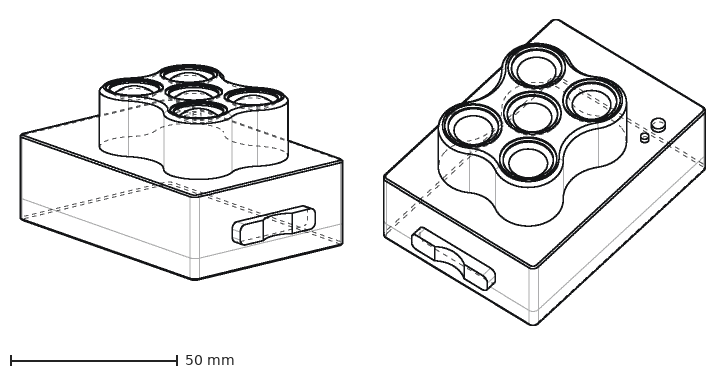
import cadquery as cq
import math

body_length = 83.0
body_width = 59.0
base_height = 7.0
body_height = 26.7
body_corner_radius = 2.0
body_edge_chamfer = 0.55

overall_height = 45.4
pod_center_x = 5.75
lens_offset_x = 15.1
lens_offset_y = 10.6
lobe_radius = 10.5
long_side_waist = 15.55
short_side_waist = 22.5
pod_chamfer = 1.25

rim_radius = 8.6
rim_depth = 0.45
throat_radius = 7.55
throat_depth = 0.55
taper_depth = 1.2
glass_radius = 5.8
glass_rise = 2.15

peg_y = 22.5
peg_height = 1.5
pegs = [(-26.5, peg_y, 2.1), (-20.0, peg_y, 1.25)]

overall_length = 86.8
connector_width = 29.2
connector_height = 6.4
connector_bottom = 9.1
connector_corner_radius = 1.95
notch_width = 11.3
notch_depth = 1.9


def rounded_block(bottom, top):
    """Housing slab with rounded vertical corners."""
    block = cq.Workplane("XY").workplane(offset=bottom)
    block = block.rect(body_length, body_width).extrude(top - bottom)
    return block.edges("|Z").fillet(body_corner_radius)


def make_housing():
    base = rounded_block(0, base_height).faces("<Z").chamfer(body_edge_chamfer)
    cover = rounded_block(base_height, body_height).faces(">Z").chamfer(body_edge_chamfer)
    return base.union(cover, clean=False)


def hollow_center_distance(waist, along, across):
    """Distance from pod center to the center of a hollow arc tangent to two lobes.

    `along` and `across` locate a lobe center along and across the hollow's axis.
    """
    gap = waist - along
    radius = (across**2 + gap**2 - lobe_radius**2) / (2 * (lobe_radius - gap))
    return waist + radius


def tangent_point(center_x, center_y):
    """Point of the +X +Y lobe facing a hollow arc centered at the given place."""
    dx = center_x - lens_offset_x
    dy = center_y - lens_offset_y
    scale = lobe_radius / math.hypot(dx, dy)
    return lens_offset_x + dx * scale, lens_offset_y + dy * scale


def make_pod():
    """Four tangent-blended lobes with a chamfered top rim."""
    long_center = hollow_center_distance(long_side_waist, lens_offset_y, lens_offset_x)
    short_center = hollow_center_distance(short_side_waist, lens_offset_x, lens_offset_y)
    side_x, side_y = tangent_point(short_center, 0)
    top_x, top_y = tangent_point(0, long_center)
    diagonal = lobe_radius / math.sqrt(2)
    lobe_x = lens_offset_x + diagonal
    lobe_y = lens_offset_y + diagonal

    pod = (
        cq.Workplane("XY")
        .workplane(offset=body_height)
        .center(pod_center_x, 0)
        .moveTo(side_x, side_y)
        .threePointArc((lobe_x, lobe_y), (top_x, top_y))
        .threePointArc((0, long_side_waist), (-top_x, top_y))
        .threePointArc((-lobe_x, lobe_y), (-side_x, side_y))
        .threePointArc((-short_side_waist, 0), (-side_x, -side_y))
        .threePointArc((-lobe_x, -lobe_y), (-top_x, -top_y))
        .threePointArc((0, -long_side_waist), (top_x, -top_y))
        .threePointArc((lobe_x, -lobe_y), (side_x, -side_y))
        .threePointArc((short_side_waist, 0), (side_x, side_y))
        .close()
        .extrude(overall_height - body_height)
    )
    return pod.faces(">Z").chamfer(pod_chamfer)


def make_lens_recess():
    """Cutter for one recess, its axis on Z and its mouth at the pod top."""
    rim_z = overall_height - rim_depth
    throat_z = rim_z - throat_depth
    glass_z = throat_z - taper_depth
    apex_z = glass_z + glass_rise
    sphere_radius = (glass_radius**2 + glass_rise**2) / (2 * glass_rise)
    mid_radius = glass_radius / 2
    mid_z = apex_z - sphere_radius + math.sqrt(sphere_radius**2 - mid_radius**2)
    return (
        cq.Workplane("XZ")
        .moveTo(0, overall_height)
        .lineTo(rim_radius, overall_height)
        .lineTo(rim_radius, rim_z)
        .lineTo(throat_radius, rim_z)
        .lineTo(throat_radius, throat_z)
        .lineTo(glass_radius, glass_z)
        .threePointArc((mid_radius, mid_z), (0, apex_z))
        .close()
        .revolve(360, (0, 0, 0), (0, 1, 0))
    )


def lens_centers():
    corners = [(i * lens_offset_x, j * lens_offset_y) for i in (-1, 1) for j in (-1, 1)]
    return [(0, 0)] + corners


def make_connector():
    """Round-edged bar on the +X end with a shallow arc notch in its outer face."""
    inner_x = body_length / 2
    outer_x = overall_length - body_length / 2
    bar = (
        cq.Workplane("YZ")
        .workplane(offset=inner_x)
        .center(0, connector_bottom + connector_height / 2)
        .rect(connector_width, connector_height)
        .extrude(outer_x - inner_x)
        .edges("|X")
        .fillet(connector_corner_radius)
    )
    notch_radius = ((notch_width / 2) ** 2 + notch_depth**2) / (2 * notch_depth)
    notch = (
        cq.Workplane("XY")
        .workplane(offset=connector_bottom)
        .center(outer_x - notch_depth + notch_radius, 0)
        .circle(notch_radius)
        .extrude(connector_height)
    )
    return bar.cut(notch)


def make_peg(x, y, radius):
    return (
        cq.Workplane("XY")
        .workplane(offset=body_height)
        .center(x, y)
        .circle(radius)
        .extrude(peg_height)
    )


pod = make_pod()
lens_recess = make_lens_recess()
for x, y in lens_centers():
    pod = pod.cut(lens_recess.translate((pod_center_x + x, y, 0)))

result = make_housing().union(pod, clean=False).union(make_connector(), clean=False)
for x, y, radius in pegs:
    result = result.union(make_peg(x, y, radius), clean=False)